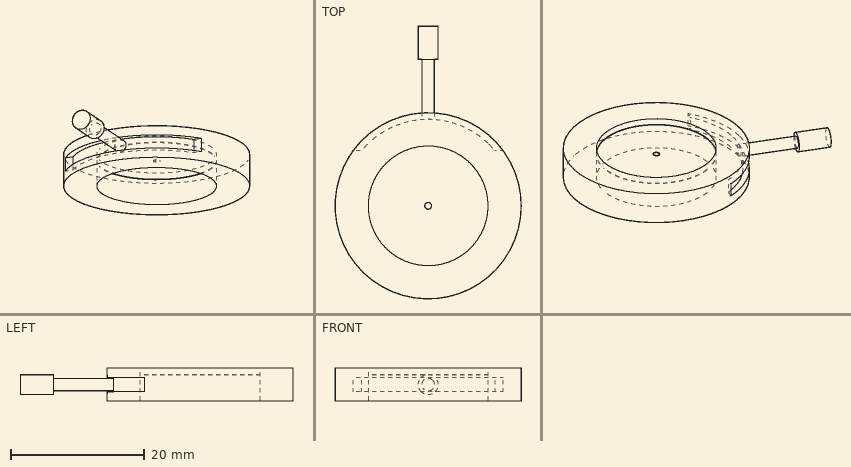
import cadquery as cq

disc_diameter = 28.0
disc_height = 5.0
recess_diameter = 18.0
recess_depth = 1.0
web_thickness = 0.1
pinhole_diameter = 1.0

groove_height = 2.1
groove_depth = 1.0
groove_end_y = 8.32

overall_length = 41.0
rod_diameter = 1.9
knob_diameter = 3.0
knob_length = 5.0

disc_radius = disc_diameter / 2
mid_height = disc_height / 2
groove_floor_radius = disc_radius - groove_depth
lever_tip_y = overall_length - disc_radius
knob_start_y = lever_tip_y - knob_length


def make_disc():
    """Ring closed by a thin web with a central pinhole, leaving a recess above and below."""
    ring = (
        cq.Workplane("XY")
        .circle(disc_radius)
        .circle(recess_diameter / 2)
        .extrude(disc_height)
    )
    web = (
        cq.Workplane("XY")
        .workplane(offset=disc_height - recess_depth - web_thickness)
        .circle(recess_diameter / 2)
        .circle(pinhole_diameter / 2)
        .extrude(web_thickness)
    )
    return ring.union(web)


def make_groove():
    """Ring around the groove floor, limited to the rim beyond groove_end_y."""
    ring = (
        cq.Workplane("XY")
        .workplane(offset=mid_height - groove_height / 2)
        .circle(disc_diameter)
        .circle(groove_floor_radius)
        .extrude(groove_height)
    )
    rim_side = (
        cq.Workplane("XY")
        .box(disc_diameter, disc_radius, disc_height, centered=(True, False, False))
        .translate((0, groove_end_y, 0))
    )
    return ring.intersect(rim_side)


def lever_cylinder(diameter, start_y, end_y):
    """Cylinder on the lever axis between two Y positions."""
    axis_start = cq.Vector(0, start_y, mid_height)
    cylinder = cq.Solid.makeCylinder(diameter / 2, end_y - start_y, axis_start, cq.Vector(0, 1, 0))
    return cq.Workplane("XY").newObject([cylinder])


rod_start_y = (recess_diameter / 2 + groove_floor_radius) / 2
rod = lever_cylinder(rod_diameter, rod_start_y, knob_start_y)
knob = lever_cylinder(knob_diameter, knob_start_y, lever_tip_y)

result = make_disc().cut(make_groove()).union(rod).union(knob)